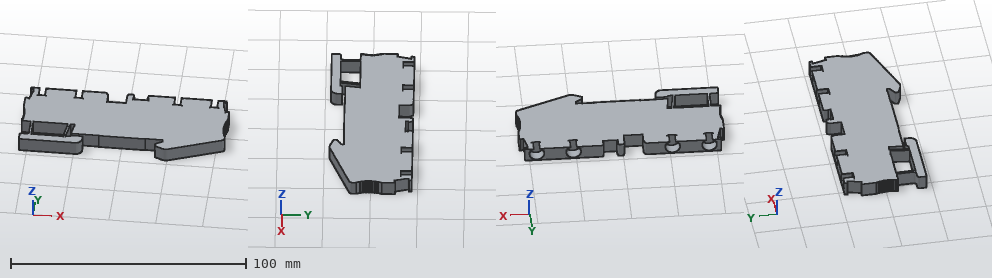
import cadquery as cq
import math

length = 87.2
width = 35.2
thickness = 6.2

mirror_x = length / 2

body_floor_y = 12.4
rail_seat_y = 6.1
seat_pad_drop = 0.2
seat_pad_left_x = 33.8
seat_pad_right_x = 53.8

hook_top_x = 2.0
hook_tip_x = 1.7
hook_tip_y = 34.2
hook_under_y = 33.9
hook_tip_flat = 0.2
hook_round = 0.5
neck_x = 3.05
neck_straight_y = 33.3
neck_foot_x = 1.7
neck_foot_y = 27.8
shoulder_x = 0.5
shoulder_y = 28.25
shoulder_end_y = 28.0

notch_left_x = 34.8
notch_right_x = 42.9
notch_floor_y = 29.2
notch_lead = 0.9
notch_lead_y = 33.7
finger_tip_left_x = 43.4
finger_tip_right_x = 45.6
recess_left_x = 45.6
recess_right_x = 52.15
recess_floor_y = 32.1
recess_lip = 0.5
recess_lip_y = 33.1
lip_top_offset = 0.1

flank_angle = math.radians(20.8)
flank_start_y = 9.0
claw_vertex_x = 62.9
claw_nose_x = 58.3
claw_nose_low_y = 1.75
claw_nose_high_y = 3.05
claw_root_x = 61.4
claw_root_y = 5.1
claw_bottom_radius = 3.1
flank_radius = 1.5

foot_left_x = 0.35
foot_right_x = 27.2
foot_bottom_y = 0.04
foot_top_y = 4.0
foot_step_left_x = 21.7
foot_step_right_x = 22.2
foot_step_y = 4.8
foot_nose_x = 24.9
foot_nose_y = 2.8
foot_nose_mid = (26.6, 1.1)
strut_width = 1.05
straight_strut_x = 4.2
leaning_strut_low_x = 18.8
leaning_strut_high_x = 20.1
strut_overlap = 0.2
body_wall_low_x = 22.1
body_wall_high_x = 22.9

grip_radius = 12.9
grip_y = 17.1
left_grip_depth = 1.0
right_grip_depth = 1.2
grip_rib_radius = 0.3
grip_rib_pitch = 1.2
grip_rib_count = 7

channel_offsets = (36.8, 21.1)
channel_floor_y = 30.5
channel_mouth = 2.6
channel_arc_radius = 2.92
channel_flat = 0.4

small_round = 0.35
medium_round = 0.7
foot_round = 1.05
strut_round = 0.5


def mirrored(points):
    """Mirror outline corners to the right end, in reverse order."""
    return [(2 * mirror_x - x, y, radius) for x, y, radius in reversed(points)]


def rounded_plate(corners):
    """Extrude a closed outline of (x, y, corner radius) through the full thickness."""
    starts, middles, ends = [], [], []
    for i, (x, y, radius) in enumerate(corners):
        corner = cq.Vector(x, y)
        before = cq.Vector(*corners[i - 1][:2])
        after = cq.Vector(*corners[(i + 1) % len(corners)][:2])
        to_before = (before - corner).normalized()
        to_after = (after - corner).normalized()
        half_angle = to_before.getAngle(to_after) / 2
        tangent = radius / math.tan(half_angle)
        bisector = (to_before + to_after).normalized()
        starts.append(corner + to_before * tangent)
        middles.append(corner + bisector * (radius / math.sin(half_angle) - radius))
        ends.append(corner + to_after * tangent)

    outline = cq.Workplane("XY").moveTo(ends[-1].x, ends[-1].y)
    for (_, _, radius), start, middle, end in zip(corners, starts, middles, ends):
        outline = outline.lineTo(start.x, start.y)
        if radius > 0:
            outline = outline.threePointArc((middle.x, middle.y), (end.x, end.y))
    return outline.close().extrude(thickness)


def make_body():
    left_end = [
        (0, shoulder_end_y, small_round),
        (shoulder_x, shoulder_y, 0),
        (neck_foot_x, neck_foot_y, 0),
        (neck_x, neck_straight_y, 0),
        (neck_x, hook_under_y, 0),
        (hook_tip_x + hook_tip_flat, hook_under_y, 0),
        (hook_tip_x, hook_tip_y, 0),
        (hook_top_x, width, hook_round),
    ]
    upper_edge = [
        (notch_left_x - notch_lead, width, medium_round),
        (notch_left_x, notch_lead_y, small_round),
        (notch_left_x, notch_floor_y, 0),
        (notch_right_x, notch_floor_y, 0),
        (notch_right_x, notch_lead_y, small_round),
        (finger_tip_left_x, width, medium_round),
        (finger_tip_right_x, width, medium_round),
        (recess_left_x + recess_lip, recess_lip_y, 0),
        (recess_left_x, recess_lip_y, 0),
        (recess_left_x, recess_floor_y, 0),
        (recess_right_x, recess_floor_y, 0),
        (recess_right_x, recess_lip_y, 0),
        (recess_right_x - recess_lip, recess_lip_y, 0),
        (recess_right_x - lip_top_offset, width, medium_round),
    ]
    right_end = mirrored(left_end)
    claw_vertex_y = flank_start_y - (length - claw_vertex_x) * math.tan(flank_angle)
    lower_edge = [
        (length, flank_start_y, flank_radius),
        (claw_vertex_x, claw_vertex_y, claw_bottom_radius),
        (claw_nose_x, claw_nose_low_y, small_round),
        (claw_nose_x, claw_nose_high_y, medium_round),
        (claw_root_x, claw_root_y, small_round),
        (claw_root_x, rail_seat_y, small_round),
        (seat_pad_right_x, rail_seat_y, 0),
        (seat_pad_right_x, rail_seat_y - seat_pad_drop, 0),
        (seat_pad_left_x, rail_seat_y - seat_pad_drop, 0),
        (seat_pad_left_x, rail_seat_y, 0),
        (body_wall_low_x, rail_seat_y, small_round),
        (body_wall_high_x, body_floor_y, small_round),
        (0, body_floor_y, medium_round),
    ]
    return rounded_plate(left_end + upper_edge + right_end + lower_edge)


def make_foot():
    foot = rounded_plate([
        (foot_left_x, foot_bottom_y, medium_round),
        (foot_left_x, foot_top_y, foot_round),
        (foot_step_left_x, foot_top_y, small_round),
        (foot_step_right_x, foot_step_y, small_round),
        (foot_right_x, foot_step_y, 0),
        (foot_right_x, foot_bottom_y, 0),
    ])
    nose_waste = (
        cq.Workplane("XY")
        .moveTo(foot_right_x, foot_nose_y)
        .threePointArc(foot_nose_mid, (foot_nose_x, foot_bottom_y))
        .lineTo(foot_right_x, foot_bottom_y)
        .close()
        .extrude(thickness)
    )
    return foot.cut(nose_waste)


def make_strut(low_x, high_x):
    low_y = foot_top_y - strut_overlap
    high_y = body_floor_y + strut_overlap
    return rounded_plate([
        (low_x, low_y, 0),
        (high_x, high_y, 0),
        (high_x + strut_width, high_y, 0),
        (low_x + strut_width, low_y, 0),
    ])


def grip_hollow(center_x):
    """Cutter for a shallow cylindrical hollow."""
    return cq.Workplane("XY").center(center_x, grip_y).circle(grip_radius).extrude(thickness)


def grip_ribs(center_x, side):
    """Small round ribs spaced evenly along the hollow; side is -1 for the left flank and 1 for the right."""
    places = []
    for i in range(grip_rib_count):
        rise = (i - (grip_rib_count - 1) / 2) * grip_rib_pitch
        reach = math.sqrt(grip_radius**2 - rise**2)
        places.append((center_x - side * reach, grip_y + rise))
    return cq.Workplane("XY").pushPoints(places).circle(grip_rib_radius).extrude(thickness)


def channel(center_x):
    """Round-sided channel along Y, narrower at its mouth in the top face than inside."""
    half_flat = channel_flat / 2
    mouth_from_arc = channel_mouth / 2 - half_flat
    axis_z = thickness - math.sqrt(channel_arc_radius**2 - mouth_from_arc**2)
    half_width = half_flat + channel_arc_radius
    bottom_z = axis_z - channel_arc_radius
    return (
        cq.Workplane("XZ", origin=(center_x, width, 0))
        .moveTo(-channel_mouth / 2, thickness)
        .threePointArc((-half_width, axis_z), (-half_flat, bottom_z))
        .lineTo(half_flat, bottom_z)
        .threePointArc((half_width, axis_z), (channel_mouth / 2, thickness))
        .close()
        .extrude(width - channel_floor_y)
    )


result = make_body()

grip_centers = {
    -1: left_grip_depth - grip_radius,
    1: length - right_grip_depth + grip_radius,
}
for side, grip_x in grip_centers.items():
    result = result.cut(grip_hollow(grip_x)).union(grip_ribs(grip_x, side))
    for offset in channel_offsets:
        result = result.cut(channel(mirror_x + side * offset))

result = (
    result.union(make_foot())
    .union(make_strut(straight_strut_x, straight_strut_x))
    .union(make_strut(leaning_strut_low_x, leaning_strut_high_x))
)

strut_corners = [
    (straight_strut_x, body_floor_y, strut_round),
    (leaning_strut_high_x, body_floor_y, strut_round),
    (straight_strut_x, foot_top_y, foot_round),
]
for x, y, radius in strut_corners:
    corner_edge = cq.NearestToPointSelector((x, y, thickness / 2))
    result = result.edges(corner_edge).fillet(radius)